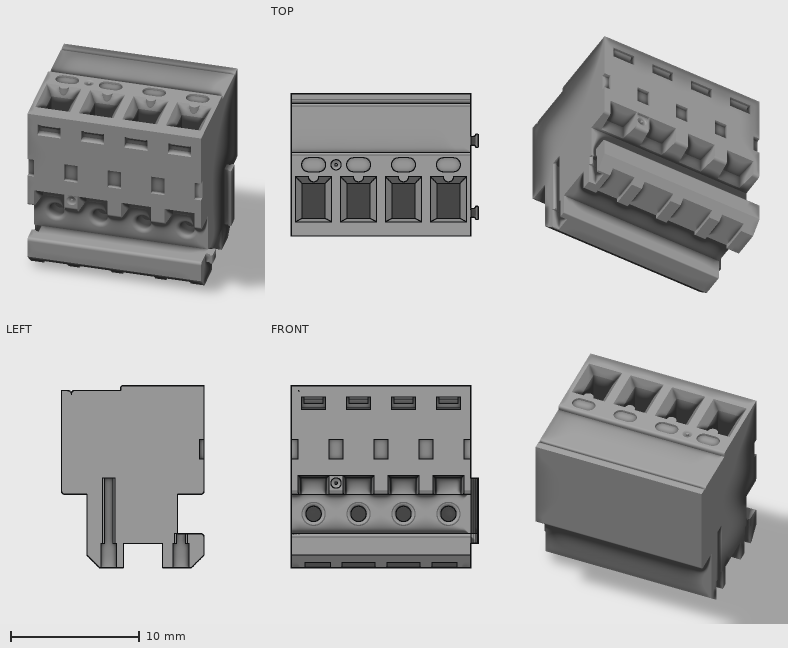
import cadquery as cq


pole_count = 4
pitch = 3.5
body_length = pole_count * pitch
depth = 11.1
height = 14.2

back_top_z = 13.82
step_y = 6.5
step_radius = 0.2
head_bottom_z = 5.73
head_edge_radius = 0.25
stem_front_y = 2.05
stem_back_y = 9.13
ledge_top_z = 2.68
ledge_edge_radius = 0.25
leg_chamfer = 1.0
leg_edge_radius = 0.1
leg_gap_front_y = 3.25
leg_gap_back_y = 6.26
leg_gap_top_z = 1.9
crease_y = 10.32
crease_back_radius = 0.3
crease_front_radius = 0.2

entry_width = 2.8
entry_front_y = 1.11
entry_back_y = 4.62
shaft_width = 1.8
shaft_front_y = 1.38
shaft_back_y = 4.11
funnel_depth = 0.8
shaft_bottom_z = 9.0
ridge_radius = 0.4

mark_y = 5.55
mark_length = 1.87
mark_width = 1.1
mark_depth = 0.2

gate_x = pitch
gate_diameter = 0.8
gate_pin_diameter = 0.2
gate_dimple_depth = 0.15
gate_front_z = 6.61
gate_recess_depth = 0.2

window_width = 1.88
window_bottom_z = 12.35
window_top_z = 13.33
window_depth = 0.55
window_floor_rise = 0.09
wedge_width = 1.5
wedge_drop = 0.37
wedge_bottom_z = 12.79

notch_width = 1.07
notch_bottom_z = 8.48
notch_top_z = 10.02
notch_depth = 0.34

opening_width = 2.4
opening_top_z = 7.21
opening_depth = 1.8
opening_taper = 0.22

hole_z = 4.21
hole_diameter = 1.2
hole_depth = 1.5
hole_mouth_radius = 0.3

leg_slot_height = 0.42
leg_slot_rib = 0.9
leg_slot_margin = 1.09

coupling_ys = (1.8, 7.42)
coupling_tops = (ledge_top_z, 7.0)
rail_bottom_z = 1.92
rail_reach = 0.58
rail_neck = 0.7
rail_neck_reach = 0.2
rail_flare_radius = 0.18
rail_edge_chamfer = 0.06
groove_depth = 0.6
groove_throat = 0.69
groove_lip_radius = 0.155
groove_cavity = 1.2
groove_cavity_start = 0.36
groove_entry_width = 1.23
groove_entry_top_z = 1.9

pole_xs = [pitch * (i + 0.5) for i in range(pole_count)]
boundary_xs = [pitch * i for i in range(pole_count + 1)]


def box(x0, x1, y0, y1, z0, z1):
    """Box given by its limits along each axis."""
    return cq.Workplane("XY").box(x1 - x0, y1 - y0, z1 - z0, centered=False).translate((x0, y0, z0))


def rect_wire(cx, y0, y1, width, z):
    """Rectangular wire at height z, centred on cx."""
    half = width / 2
    corners = [(cx - half, y0, z), (cx + half, y0, z), (cx + half, y1, z), (cx - half, y1, z)]
    return cq.Wire.makePolygon([cq.Vector(*corner) for corner in corners], close=True)


def body():
    """Side outline of the housing, extruded along the poles."""
    back_round_y = crease_y + crease_back_radius
    front_round_y = crease_y - crease_front_radius
    outline = (
        cq.Workplane("YZ")
        .moveTo(leg_chamfer, 0)
        .lineTo(leg_gap_front_y, 0)
        .lineTo(leg_gap_front_y, leg_gap_top_z)
        .lineTo(leg_gap_back_y, leg_gap_top_z)
        .lineTo(leg_gap_back_y, 0)
        .lineTo(stem_back_y - leg_chamfer, 0)
        .lineTo(stem_back_y, leg_chamfer)
        .lineTo(stem_back_y, head_bottom_z)
        .lineTo(depth, head_bottom_z)
        .lineTo(depth, back_top_z)
        .lineTo(back_round_y, back_top_z)
        .radiusArc((crease_y, back_top_z - crease_back_radius), -crease_back_radius)
        .lineTo(crease_y, back_top_z - crease_front_radius)
        .radiusArc((front_round_y, back_top_z), -crease_front_radius)
        .lineTo(step_y, back_top_z)
        .lineTo(step_y, height)
        .lineTo(0, height)
        .lineTo(0, head_bottom_z)
        .lineTo(stem_front_y, head_bottom_z)
        .lineTo(stem_front_y, ledge_top_z)
        .lineTo(0, ledge_top_z)
        .lineTo(0, leg_chamfer)
        .close()
        .extrude(body_length)
    )
    rounded_edges = [
        (step_y, height, step_radius),
        (0, head_bottom_z, head_edge_radius),
        (depth, head_bottom_z, head_edge_radius),
        (0, ledge_top_z, ledge_edge_radius),
        (leg_gap_front_y, 0, leg_edge_radius),
        (leg_gap_back_y, 0, leg_edge_radius),
    ]
    for y, z, radius in rounded_edges:
        edge = cq.selectors.NearestToPointSelector((body_length / 2, y, z))
        outline = outline.edges(edge).fillet(radius)
    return outline


def wire_entry(cx):
    """Funnel and straight shaft for one wire, with a round ridge left on the back wall."""
    shaft_top_z = height - funnel_depth
    mouth = rect_wire(cx, entry_front_y, entry_back_y, entry_width, height)
    throat = rect_wire(cx, shaft_front_y, shaft_back_y, shaft_width, shaft_top_z)
    funnel = cq.Workplane(obj=cq.Solid.makeLoft([mouth, throat], True))
    half = shaft_width / 2
    shaft = box(cx - half, cx + half, shaft_front_y, shaft_back_y, shaft_bottom_z, shaft_top_z)
    ridge = (
        cq.Workplane("XY", origin=(cx, entry_back_y, shaft_top_z))
        .circle(ridge_radius)
        .extrude(funnel_depth)
    )
    return funnel.cut(ridge).union(shaft)


def top_mark(cx):
    """Shallow rounded slot in the top behind a wire entry."""
    return (
        cq.Workplane("XY", origin=(cx, mark_y, height - mark_depth))
        .slot2D(mark_length, mark_width)
        .extrude(mark_depth)
    )


def gate_dimple(point, inward):
    """Shallow dish sinking from point along inward, around a thin pin that stays level with the face."""
    rim_radius = gate_diameter / 2
    sphere_radius = (rim_radius**2 + gate_dimple_depth**2) / (2 * gate_dimple_depth)
    face = cq.Plane(origin=point, normal=inward)
    ball = cq.Workplane(face).workplane(offset=gate_dimple_depth - sphere_radius).sphere(sphere_radius)
    bore = cq.Workplane(face).circle(rim_radius).circle(gate_pin_diameter / 2).extrude(gate_dimple_depth)
    return ball.intersect(bore)


def gate_recess():
    """Front edge strip between the first two openings, set back and rounded like its neighbours."""
    half = (pitch - opening_width) / 2
    return (
        cq.Workplane("YZ", origin=(gate_x - half, 0, 0))
        .moveTo(0, opening_top_z)
        .lineTo(gate_recess_depth, opening_top_z)
        .lineTo(gate_recess_depth, head_bottom_z + head_edge_radius)
        .radiusArc((gate_recess_depth + head_edge_radius, head_bottom_z), -head_edge_radius)
        .lineTo(0, head_bottom_z)
        .close()
        .extrude(2 * half)
    )


def window(cx):
    """Front window with a slightly rising floor and a latch wedge hanging from its roof."""
    opening = (
        cq.Workplane("YZ", origin=(cx - window_width / 2, 0, 0))
        .moveTo(0, window_bottom_z)
        .lineTo(window_depth, window_bottom_z + window_floor_rise)
        .lineTo(window_depth, window_top_z)
        .lineTo(0, window_top_z)
        .close()
        .extrude(window_width)
    )
    wedge_front_y = window_depth - wedge_drop
    wedge = (
        cq.Workplane("YZ", origin=(cx - wedge_width / 2, 0, 0))
        .moveTo(window_depth, wedge_bottom_z)
        .lineTo(window_depth, window_top_z)
        .lineTo(wedge_front_y, window_top_z)
        .lineTo(wedge_front_y, wedge_bottom_z + wedge_drop)
        .close()
        .extrude(wedge_width)
    )
    return opening.cut(wedge)


def front_notch(cx):
    """Shallow rectangular notch on a pole boundary."""
    half = notch_width / 2
    return box(cx - half, cx + half, 0, notch_depth, notch_bottom_z, notch_top_z)


def lower_opening(cx):
    """Opening in the lower front edge of the head, narrowing toward the back."""

    def frame(y, inset):
        half = opening_width / 2 - inset
        top_z = opening_top_z - inset
        corners = [
            (cx - half, y, head_bottom_z),
            (cx + half, y, head_bottom_z),
            (cx + half, y, top_z),
            (cx - half, y, top_z),
        ]
        return cq.Wire.makePolygon([cq.Vector(*corner) for corner in corners], close=True)

    frames = [frame(0, 0), frame(opening_depth, opening_taper)]
    return cq.Workplane(obj=cq.Solid.makeLoft(frames, True))


def stem_hole(cx):
    """Blind round hole in the stem front with a rounded mouth, as one turned shape."""
    radius = hole_diameter / 2
    return (
        cq.Workplane("XY")
        .moveTo(0, 0)
        .lineTo(radius + hole_mouth_radius, 0)
        .radiusArc((radius, hole_mouth_radius), hole_mouth_radius)
        .lineTo(radius, hole_depth)
        .lineTo(0, hole_depth)
        .close()
        .revolve(360, (0, 0), (0, 1))
        .translate((cx, stem_front_y, hole_z))
    )


def leg_slots():
    """Slots across the bottom of the front leg, parted by a rib at each pole boundary."""
    end_x = body_length - leg_slot_margin
    slots = box(leg_slot_margin, end_x, 0, leg_gap_front_y, 0, leg_slot_height)
    for x in boundary_xs[1:-1]:
        half = leg_slot_rib / 2
        slots = slots.cut(box(x - half, x + half, 0, leg_gap_front_y, 0, leg_slot_height))
    return slots


def coupling_groove(cy, top_z):
    """T-shaped groove in the left face with a rounded mouth and a wide entry below."""
    half_throat = groove_throat / 2
    half_mouth = half_throat + groove_lip_radius
    half_cavity = groove_cavity / 2
    groove = (
        cq.Workplane("XY", origin=(0, cy, 0))
        .moveTo(0, -half_mouth)
        .radiusArc((groove_lip_radius, -half_throat), -groove_lip_radius)
        .lineTo(groove_cavity_start - groove_lip_radius, -half_throat)
        .radiusArc((groove_cavity_start, -half_mouth), -groove_lip_radius)
        .lineTo(groove_cavity_start, -half_cavity)
        .lineTo(groove_depth, -half_cavity)
        .lineTo(groove_depth, half_cavity)
        .lineTo(groove_cavity_start, half_cavity)
        .lineTo(groove_cavity_start, half_mouth)
        .radiusArc((groove_cavity_start - groove_lip_radius, half_throat), -groove_lip_radius)
        .lineTo(groove_lip_radius, half_throat)
        .radiusArc((0, half_mouth), -groove_lip_radius)
        .close()
        .extrude(top_z)
    )
    half_entry = groove_entry_width / 2
    entry = box(0, groove_depth, cy - half_entry, cy + half_entry, 0, groove_entry_top_z)
    return groove.union(entry)


def coupling_rail(cy, top_z):
    """T-shaped rail on the right face, in line with the groove on the left face."""
    half_neck = rail_neck / 2
    half_head = half_neck + rail_flare_radius
    half_tip = half_head - rail_edge_chamfer
    head_start = rail_neck_reach + rail_flare_radius
    shoulder = rail_reach - rail_edge_chamfer
    return (
        cq.Workplane("XY", origin=(body_length, cy, rail_bottom_z))
        .moveTo(0, -half_neck)
        .lineTo(rail_neck_reach, -half_neck)
        .radiusArc((head_start, -half_head), rail_flare_radius)
        .lineTo(shoulder, -half_head)
        .lineTo(rail_reach, -half_tip)
        .lineTo(rail_reach, half_tip)
        .lineTo(shoulder, half_head)
        .lineTo(head_start, half_head)
        .radiusArc((rail_neck_reach, half_neck), rail_flare_radius)
        .lineTo(0, half_neck)
        .close()
        .extrude(top_z - rail_bottom_z)
    )


result = body()
for pole_x in pole_xs:
    for feature in (wire_entry, top_mark, window, lower_opening, stem_hole):
        result = result.cut(feature(pole_x))
for boundary_x in boundary_xs:
    result = result.cut(front_notch(boundary_x))
result = result.cut(gate_recess())
result = result.cut(gate_dimple((gate_x, mark_y, height), (0, 0, -1)))
result = result.cut(gate_dimple((gate_x, gate_recess_depth, gate_front_z), (0, 1, 0)))
result = result.cut(leg_slots())
for coupling_y, coupling_top in zip(coupling_ys, coupling_tops):
    result = result.cut(coupling_groove(coupling_y, coupling_top))
    result = result.union(coupling_rail(coupling_y, coupling_top))